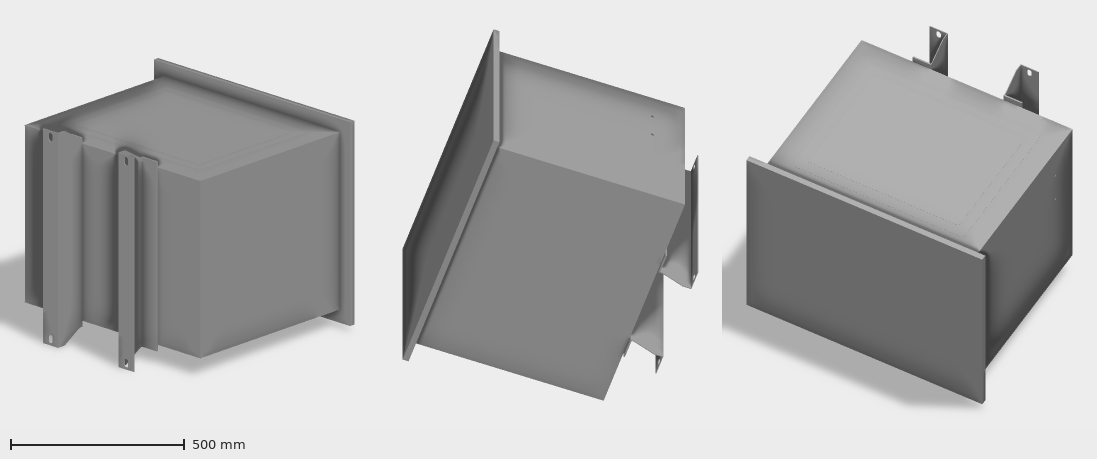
import cadquery as cq

total_depth = 700.0
rail_height = 655.0

flange_width = 780.0
flange_height = 622.5
flange_thickness = 18.0

body_width = 698.0
body_height = 541.0
body_front = 599.0
cover_thickness = 2.0
cover_overhang = 0.4

plate_center_y = -306.0
gasket_width = 566.0
gasket_depth = 455.0
gasket_corner = 12.5
panel_width = 497.0
panel_depth = 386.0
plate_step = 0.4

screw_diameter = 9.0
screw_depth = 8.0
screw_y = -500.0
screw_heights = (67.0, 168.0)

sheet = 2.5
back_leg_thickness = 5.0
rail_web_x = 120.0
rail_leg = 60.0
rail_back = body_front
short_leg_height = 579.0
web_taper_start = 610.0
web_taper_end = 672.0
slot_width = 15.5
slot_length = 26.0
slot_z = 308.0


def centered_box(width, height, y_back, y_front):
    """Box centred on X and Z, between two depths measured from the back."""
    return cq.Workplane("XY").box(width, y_front - y_back, height).translate((0, -(y_back + y_front) / 2, 0))


def make_cabinet():
    flange = centered_box(flange_width, flange_height, 0, flange_thickness)
    walls = centered_box(body_width - 2 * cover_overhang, body_height, 0, body_front - cover_overhang)
    cabinet = flange.union(walls)
    cover_z = (body_height - cover_thickness) / 2
    for side in (-1, 1):
        cover = centered_box(body_width, cover_thickness, 0, body_front)
        cabinet = cabinet.union(cover.translate((0, 0, side * cover_z)))
    return cabinet


def make_gland_plate():
    roof = cq.Workplane("XY", origin=(0, plate_center_y, body_height / 2))
    gasket = roof.rect(gasket_width, gasket_depth).extrude(plate_step).edges("|Z").fillet(gasket_corner)
    panel = roof.rect(panel_width, panel_depth).extrude(2 * plate_step)
    return gasket.union(panel)


def make_screw_holes():
    points = [(screw_y, z) for z in screw_heights]
    wall = cq.Workplane("YZ", origin=(-body_width / 2, 0, 0))
    return wall.pushPoints(points).circle(screw_diameter / 2).extrude(screw_depth)


def make_rail():
    """Right-hand rail: a C section with its web towards the middle."""
    section = (
        cq.Workplane("XY", origin=(0, 0, -rail_height / 2))
        .moveTo(rail_web_x, -total_depth)
        .rect(rail_leg, total_depth - rail_back, centered=False)
        .extrude(rail_height)
    )
    hollow = (
        cq.Workplane("XY", origin=(0, 0, -rail_height / 2))
        .moveTo(rail_web_x + sheet, -total_depth + sheet)
        .rect(rail_leg, total_depth - rail_back - sheet - back_leg_thickness, centered=False)
        .extrude(rail_height)
    )
    half_short = short_leg_height / 2
    half_tall = rail_height / 2
    profile = [
        (-rail_back, half_short),
        (-web_taper_start, half_short),
        (-web_taper_end, half_tall),
        (-total_depth, half_tall),
    ]
    mirrored = [(y, -z) for y, z in reversed(profile)]
    side_shape = cq.Workplane("YZ").polyline(profile + mirrored).close().extrude(rail_web_x + rail_leg)
    slots = (
        cq.Workplane("XZ", origin=(rail_web_x + rail_leg / 2, -total_depth + sheet, 0))
        .pushPoints([(0, -slot_z), (0, slot_z)])
        .slot2D(slot_length, slot_width, 90)
        .extrude(sheet)
    )
    return section.cut(hollow).intersect(side_shape).cut(slots)


right_rail = make_rail()
left_rail = right_rail.mirror("YZ")
result = make_cabinet().union(make_gland_plate()).cut(make_screw_holes())
result = result.union(right_rail).union(left_rail)